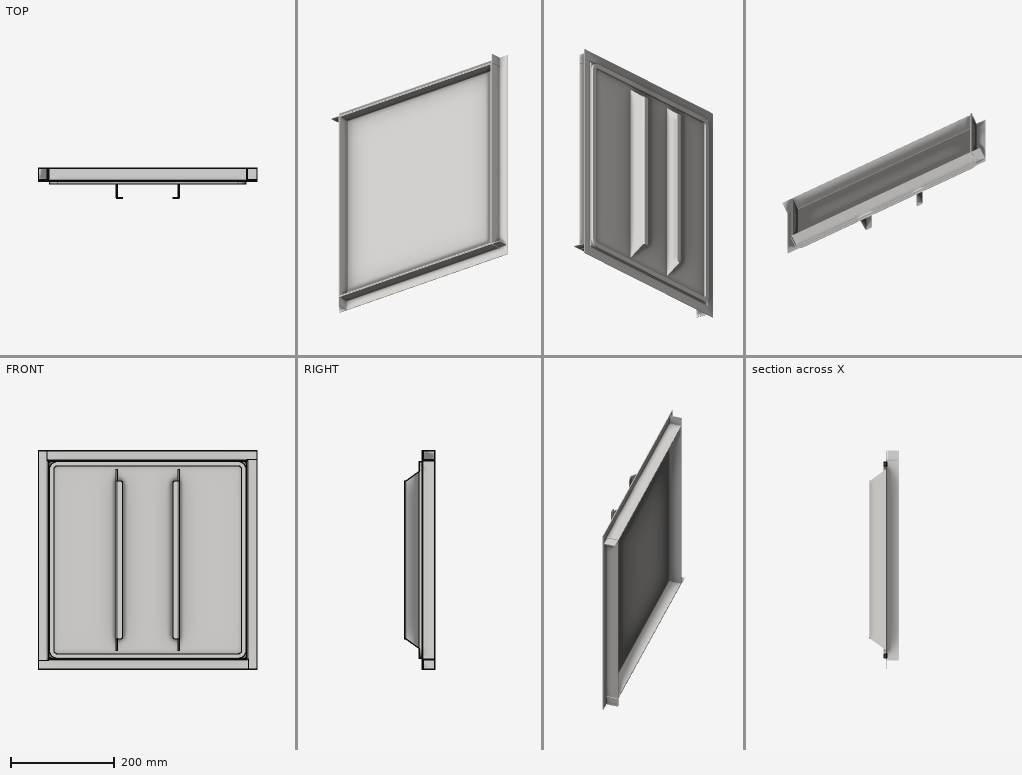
import cadquery as cq


frame_size = 423.8
total_depth = 59.0
half_frame = frame_size / 2

frame_sheet = 1.5
frame_bend_radius = 3.0
flange_width = 20.0
leg_depth = 25.3
frame_front = -leg_depth
flange_flat = flange_width - frame_bend_radius
leg_face = half_frame - flange_width
slot_bridge = frame_sheet

door_clearance = 0.4
door_sheet = 1.5
door_bend_radius = 3.0
door_size = 2 * (leg_face - door_clearance)
door_front = -25.6

gasket_size = 381.2
gasket_width = 8.7
gasket_height = 5.0
gasket_corner_radius = 16.0
gasket_opening = gasket_size - 2 * gasket_width
gasket_opening_radius = gasket_corner_radius - gasket_width

bracket_sheet = 2.0
bracket_bend_radius = 2.5
bracket_offset = 61.0
bracket_lip = 12.2
bracket_lip_corner = 4.5
bracket_root_length = 350.0
bracket_lip_length = 306.0
bracket_front = -total_depth


def make_plain_bar():
    """Top angle before notching, from the left flange to the right edge of the frame."""
    inner_radius = frame_bend_radius - frame_sheet
    return (
        cq.Workplane("YZ", origin=(-half_frame + flange_flat, 0, 0))
        .moveTo(frame_front, half_frame)
        .lineTo(frame_front, leg_face + frame_bend_radius)
        .radiusArc((frame_front + frame_bend_radius, leg_face), -frame_bend_radius)
        .lineTo(0, leg_face)
        .lineTo(0, leg_face + frame_sheet)
        .lineTo(frame_front + frame_bend_radius, leg_face + frame_sheet)
        .radiusArc((frame_front + frame_sheet, leg_face + frame_bend_radius), inner_radius)
        .lineTo(frame_front + frame_sheet, half_frame)
        .close()
        .extrude(frame_size - flange_flat)
    )


def box_between(low_corner, high_corner):
    size = [high - low for low, high in zip(low_corner, high_corner)]
    return cq.Workplane("XY").box(*size, centered=False).translate(low_corner)


def make_tongue_relief():
    """Cuts the starting end of the leg short at the back, so that it fits a closed slot."""
    return box_between(
        (-half_frame + flange_flat, -slot_bridge, leg_face),
        (-leg_face, 0, leg_face + frame_sheet),
    )


def make_bend_notch():
    """Clears the bend at the right end, where the flange of the next angle starts."""
    return box_between(
        (leg_face, frame_front, leg_face),
        (half_frame, frame_front + frame_bend_radius, half_frame - flange_flat),
    )


def make_tongue_slot():
    """Slot through the leg for the tongue of the next angle, closed at the back by a bridge."""
    return box_between(
        (leg_face, frame_front + frame_bend_radius, leg_face),
        (leg_face + frame_sheet, -slot_bridge, leg_face + frame_sheet),
    )


def turn_about_y(body, quarter_turns):
    return body.rotate((0, 0, 0), (0, 1, 0), 90 * quarter_turns)


def make_frame_bars():
    """Each angle is notched and slotted where the next one starts."""
    bar = make_plain_bar().cut(make_tongue_relief()).cut(make_bend_notch()).cut(make_tongue_slot())
    return [turn_about_y(bar, turn) for turn in range(4)]


def square_prism(size, y_front, y_back):
    return cq.Workplane("XZ", origin=(0, y_back, 0)).rect(size, size).extrude(y_back - y_front)


def make_door():
    tray = square_prism(door_size, door_front, 0).faces("<Y").edges().fillet(door_bend_radius)
    inside = square_prism(door_size - 2 * door_sheet, door_front + door_sheet, 0)
    inside = inside.faces("<Y").edges().fillet(door_bend_radius - door_sheet)
    return tray.cut(inside)


def make_gasket():
    y_front = door_front - gasket_height
    ring = square_prism(gasket_size, y_front, door_front).edges("|Y").fillet(gasket_corner_radius)
    opening = square_prism(gasket_opening, y_front, door_front).edges("|Y").fillet(gasket_opening_radius)
    return ring.cut(opening)


def make_left_bracket():
    web_outer = -bracket_offset
    web_inner = web_outer + bracket_sheet
    lip_back = bracket_front + bracket_sheet
    inner_radius = bracket_bend_radius - bracket_sheet
    strip = (
        cq.Workplane("XY")
        .moveTo(web_outer, door_front)
        .lineTo(web_outer, bracket_front + bracket_bend_radius)
        .radiusArc((web_outer + bracket_bend_radius, bracket_front), -bracket_bend_radius)
        .lineTo(web_outer + bracket_lip, bracket_front)
        .lineTo(web_outer + bracket_lip, lip_back)
        .lineTo(web_inner + inner_radius, lip_back)
        .radiusArc((web_inner, lip_back + inner_radius), inner_radius)
        .lineTo(web_inner, door_front)
        .close()
        .extrude(bracket_root_length / 2, both=True)
    )
    taper_front = bracket_front + bracket_bend_radius
    taper = (
        cq.Workplane("YZ")
        .moveTo(door_front, -bracket_root_length / 2)
        .lineTo(taper_front, -bracket_lip_length / 2)
        .lineTo(bracket_front, -bracket_lip_length / 2)
        .lineTo(bracket_front, bracket_lip_length / 2)
        .lineTo(taper_front, bracket_lip_length / 2)
        .lineTo(door_front, bracket_root_length / 2)
        .close()
        .extrude(-half_frame)
    )
    return strip.intersect(taper).edges("|Y").edges(">X").fillet(bracket_lip_corner)


frame_bars = make_frame_bars()
door = make_door()
gasket = make_gasket()
left_bracket = make_left_bracket()
brackets = [left_bracket, left_bracket.mirror("YZ")]

result = cq.Compound.makeCompound([
    *[bar.val() for bar in frame_bars],
    door.val(),
    gasket.val(),
    *[bracket.val() for bracket in brackets],
])